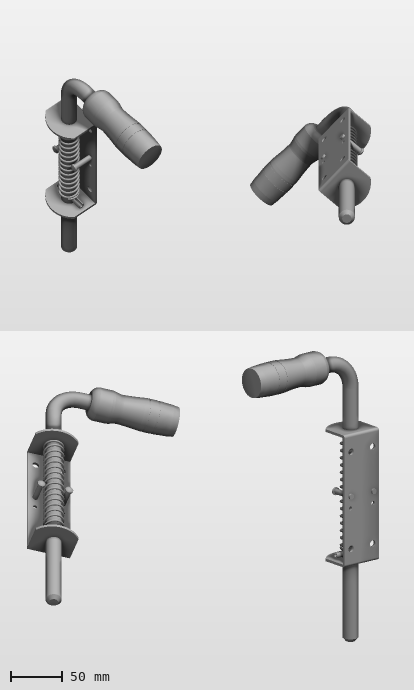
import cadquery as cq


rod_radius = 7.8
tip_chamfer_height = 3.5
tip_chamfer_width = 3.3
bend_radius = 27.0
grip_radius = 16.5
overall_height = 299.0
handle_z = overall_height - grip_radius
bend_start_z = handle_z - bend_radius

grip_start = 36.0
grip_end = 123.2
nose_end = 42.5
front_band_end = 55.3
shoulder_x = 58.0
waist_x = 67.0
rear_band_start = 87.5
groove_starts = (91.5, 101.0)
groove_width = 1.8
tail_start = 116.5

nose_radius = 11.5
nose_bulge = 1.5
shoulder_radius = 16.0
waist_radius = 14.3
groove_depth = 0.3
tail_radius = 15.5
grip_end_radius = 14.5

bracket_width = 43.0
bracket_height = 132.7
bracket_bottom = 81.3
bracket_top = bracket_bottom + bracket_height
bracket_middle = (bracket_bottom + bracket_top) / 2
sheet_thickness = 2.7
outer_bend_radius = 2.7
plate_back = 17.3
flange_side_end = -11.5
flange_tip = -21.8
mount_hole_diameter = 6.5
mount_hole_x = 13.5
mount_hole_spacing = 97.5
small_hole_diameter = 4.0
small_hole_z = 139.5

stud_x = 14.0
stud_z = 152.0
stud_radius = 2.7
stud_back = 19.5
stud_head_radius = 4.0
stud_head_start = -4.2
stud_head_rim = -6.0
stud_head_tip = -7.5

pin_start = -14.5
pin_end = 18.8
pin_z = 89.5
pin_radius = 3.0
pin_bore_radius = 1.5
pin_slit_width = 2.5

wire_radius = 1.05
coil_radius = 9.3
active_turns = 16
end_arc_angle = 225.0
spring_bottom = pin_z + pin_radius + wire_radius
spring_top = bracket_top - sheet_thickness - wire_radius


def cylinder_x(radius, start, end, z):
    """Cylinder along X, centred on Y = 0."""
    return cq.Workplane("YZ", origin=(start, 0, z)).circle(radius).extrude(end - start)


def cylinder_y(radius, start, end, x, z):
    """Cylinder along Y, reaching from the larger Y `start` down to `end`."""
    return cq.Workplane("XZ", origin=(x, start, z)).circle(radius).extrude(start - end)


def make_rod():
    """Chamfered straight rod, quarter bend and a neck that reaches into the grip."""
    tip_radius = rod_radius - tip_chamfer_width
    straight = (
        cq.Workplane("XZ")
        .moveTo(0, 0)
        .lineTo(tip_radius, 0)
        .lineTo(rod_radius, tip_chamfer_height)
        .lineTo(rod_radius, bend_start_z)
        .lineTo(0, bend_start_z)
        .close()
        .revolve(360, (0, 0, 0), (0, 1, 0))
    )
    bend = (
        cq.Workplane("XY", origin=(0, 0, bend_start_z))
        .circle(rod_radius)
        .revolve(90, (bend_radius, 0, 0), (bend_radius, 1, 0))
    )
    neck = cylinder_x(rod_radius, bend_radius, nose_end, handle_z)
    return straight.union(bend).union(neck)


def make_grip():
    """Turned grip with a rounded nose, a waist and two shallow grooves."""
    nose_middle = (
        (grip_start + nose_end - nose_bulge) / 2,
        (nose_radius + grip_radius + nose_bulge) / 2,
    )
    shoulder_slope = (shoulder_x - front_band_end, shoulder_radius - grip_radius)
    rear_slope = (groove_starts[0] - rear_band_start, grip_radius - shoulder_radius)
    outline = (
        cq.Workplane("XZ", origin=(0, 0, handle_z))
        .moveTo(grip_start, 0)
        .lineTo(grip_start, nose_radius)
        .threePointArc(nose_middle, (nose_end, grip_radius))
        .lineTo(front_band_end, grip_radius)
        .lineTo(shoulder_x, shoulder_radius)
        .spline([(waist_x, waist_radius)], tangents=[shoulder_slope, (1, 0)], includeCurrent=True)
        .spline([(rear_band_start, shoulder_radius)], tangents=[(1, 0), rear_slope], includeCurrent=True)
        .lineTo(groove_starts[0], grip_radius)
        .lineTo(groove_starts[1] + groove_width, grip_radius)
        .lineTo(tail_start, tail_radius)
        .lineTo(grip_end, grip_end_radius)
        .lineTo(grip_end, 0)
        .close()
    )
    grip = outline.revolve(360, (0, 0, 0), (1, 0, 0))
    for start in groove_starts:
        end = start + groove_width
        ring = cylinder_x(grip_radius, start, end, handle_z)
        core = cylinder_x(grip_radius - groove_depth, start, end, handle_z)
        grip = grip.cut(ring.cut(core))
    return grip


def make_bolt():
    """Rod and grip in one piece, drilled for the spring pin."""
    pin_hole = cylinder_x(pin_radius, pin_start, pin_end, pin_z)
    return make_rod().union(make_grip()).cut(pin_hole).solids()


def make_stud(x):
    """Stud with a domed head that passes through the back plate."""
    shank = cylinder_y(stud_radius, stud_back, stud_head_start, x, stud_z)
    dome_height = stud_head_rim - stud_head_tip
    dome_radius = (stud_head_radius**2 + dome_height**2) / (2 * dome_height)
    dome = cq.Workplane("XY", origin=(x, stud_head_tip + dome_radius, stud_z)).sphere(dome_radius)
    head = cylinder_y(stud_head_radius, stud_head_start, stud_head_tip, x, stud_z).intersect(dome)
    return shank.union(head)


def make_bracket():
    """Bent sheet bracket with bolt holes, mounting holes and two fixed studs."""
    half_width = bracket_width / 2
    envelope = (
        cq.Workplane("XY", origin=(0, 0, bracket_bottom))
        .moveTo(-half_width, plate_back)
        .lineTo(-half_width, flange_side_end)
        .threePointArc((0, flange_tip), (half_width, flange_side_end))
        .lineTo(half_width, plate_back)
        .close()
        .extrude(bracket_height)
        .edges("|X and >Y")
        .fillet(outer_bend_radius)
    )
    plate_front = plate_back - sheet_thickness
    depth = plate_front - flange_tip
    inside = cq.Workplane("XY").box(bracket_width, depth, bracket_height - 2 * sheet_thickness)
    inside = inside.translate((0, (plate_front + flange_tip) / 2, bracket_middle))
    bolt_hole = cq.Workplane("XY").circle(rod_radius).extrude(bracket_top)
    bracket = envelope.cut(inside).cut(bolt_hole)

    for side in (-1, 1):
        for end in (-1, 1):
            z = bracket_middle + end * mount_hole_spacing / 2
            hole = cylinder_y(mount_hole_diameter / 2, plate_back, plate_front, side * mount_hole_x, z)
            bracket = bracket.cut(hole)
        hole = cylinder_y(small_hole_diameter / 2, plate_back, plate_front, side * stud_x, small_hole_z)
        bracket = bracket.cut(hole).union(make_stud(side * stud_x))
    return bracket.solids()


def make_spring_pin():
    """Tubular pin with a lengthwise slit along its top."""
    tube = cylinder_x(pin_radius, pin_start, pin_end, pin_z)
    tube = tube.cut(cylinder_x(pin_bore_radius, pin_start, pin_end, pin_z))
    slit = cq.Workplane("XY", origin=((pin_start + pin_end) / 2, 0, pin_z))
    slit = slit.rect(pin_end - pin_start, pin_slit_width).extrude(pin_radius)
    return tube.cut(slit).solids()


def make_end_coil(z, first_angle):
    """Flat part-turn of wire at height z, running counter-clockwise from first_angle."""
    return (
        cq.Workplane("XZ")
        .center(coil_radius, 0)
        .circle(wire_radius)
        .revolve(end_arc_angle, (-coil_radius, 0, 0), (-coil_radius, 1, 0))
        .rotate((0, 0, 0), (0, 0, 1), first_angle)
        .translate((0, 0, z))
    )


def make_spring():
    """Right-hand helix whose ends, both on the -X side, run into flat coils."""
    height = spring_top - spring_bottom
    helix = cq.Wire.makeHelix(height / active_turns, height, coil_radius)
    coils = (
        cq.Workplane("XZ")
        .center(coil_radius, 0)
        .circle(wire_radius)
        .sweep(cq.Workplane(obj=helix), isFrenet=True)
        .rotate((0, 0, 0), (0, 0, 1), 180)
        .translate((0, 0, spring_bottom))
    )
    lower_coil = make_end_coil(spring_bottom, 180 - end_arc_angle)
    upper_coil = make_end_coil(spring_top, 180)
    return coils.union(lower_coil).union(upper_coil).solids()


bolt = make_bolt()
bracket = make_bracket()
spring_pin = make_spring_pin()
spring = make_spring()

result = cq.Compound.makeCompound([bolt.val(), bracket.val(), spring_pin.val(), spring.val()])